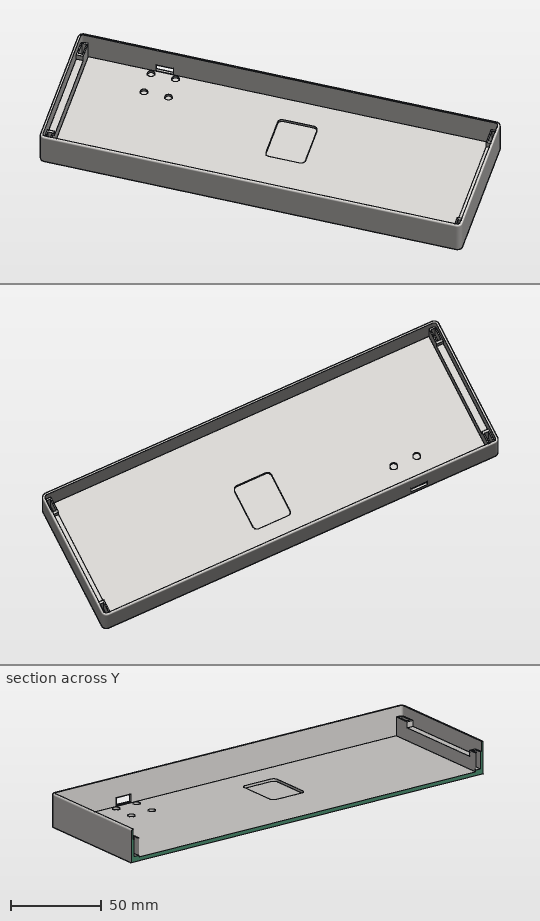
import cadquery as cq

LENGTH = 241.5
WIDTH = 80.5
HEIGHT = 19.5
CORNER_RADIUS = 3.0
WALL = 1.5
FLOOR = 2.5
RIM_FILLET = 1.0

RAIL_WIDTH = 4.0
RAIL_TOP = 10.0
POST_TOP = 13.5
POST_LENGTH = 10.0
SLOT_WIDTH = 2.5
SLOT_LENGTH = 7.5
SLOT_START = 1.0
SLOT_DEPTH = 10.0

RECESS_LENGTH = 22.5
RECESS_WIDTH = 28.25
RECESS_RADIUS = 2.5
RECESS_DEPTH = 1.5
RECESS_CENTER = (9.4, 9.5)

HOLE_DIAMETER = 4.2
HOLE_DEPTH = 1.5
HOLE_PITCH = 14.0
HOLES_CENTER = (-71.6, 29.25)

WINDOW_LENGTH = 10.0
WINDOW_HEIGHT = 4.5
WINDOW_BOTTOM = 3.0

INNER_LENGTH = LENGTH - 2 * WALL
INNER_WIDTH = WIDTH - 2 * WALL


def block(length, width, bottom, top, center=(0, 0)):
    """Upright box between two heights, centred on a point of the XY plane."""
    base = cq.Workplane("XY").workplane(offset=bottom).center(*center)
    return base.rect(length, width).extrude(top - bottom)


def make_shell():
    """Open tray with rounded corners and a rounded outer rim."""
    body = block(LENGTH, WIDTH, 0, HEIGHT).edges("|Z").fillet(CORNER_RADIUS)
    body = body.faces(">Z").edges().fillet(RIM_FILLET)
    cavity = block(INNER_LENGTH, INNER_WIDTH, FLOOR, HEIGHT)
    cavity = cavity.edges("|Z").fillet(CORNER_RADIUS - WALL)
    return body.cut(cavity)


def make_rail(side):
    """Rail and its two slotted posts on the short wall at the given X side."""
    center_x = side * (INNER_LENGTH - RAIL_WIDTH) / 2
    rail = block(RAIL_WIDTH, INNER_WIDTH, FLOOR, RAIL_TOP, (center_x, 0))
    for end in (-1, 1):
        post_y = end * (INNER_WIDTH - POST_LENGTH) / 2
        slot_y = end * (INNER_WIDTH / 2 - SLOT_START - SLOT_LENGTH / 2)
        post = block(RAIL_WIDTH, POST_LENGTH, FLOOR, POST_TOP, (center_x, post_y))
        slot = block(SLOT_WIDTH, SLOT_LENGTH, POST_TOP - SLOT_DEPTH, POST_TOP, (center_x, slot_y))
        rail = rail.union(post).cut(slot)
    return rail


def make_recess():
    """Rounded rectangular recess sunk into the floor."""
    recess = block(RECESS_LENGTH, RECESS_WIDTH, FLOOR - RECESS_DEPTH, FLOOR, RECESS_CENTER)
    return recess.edges("|Z").fillet(RECESS_RADIUS)


def make_holes():
    """Four blind floor holes in a square pattern."""
    bottom = cq.Workplane("XY").workplane(offset=FLOOR - HOLE_DEPTH).center(*HOLES_CENTER)
    pattern = bottom.rarray(HOLE_PITCH, HOLE_PITCH, 2, 2)
    return pattern.circle(HOLE_DIAMETER / 2).extrude(HOLE_DEPTH)


def make_window():
    """Connector opening in the +Y wall, centred on the hole pattern."""
    center = (HOLES_CENTER[0], (WIDTH - WALL) / 2)
    return block(WINDOW_LENGTH, WALL, WINDOW_BOTTOM, WINDOW_BOTTOM + WINDOW_HEIGHT, center)


result = make_shell()
for x_side in (-1, 1):
    result = result.union(make_rail(x_side))
result = result.cut(make_recess()).cut(make_holes()).cut(make_window())